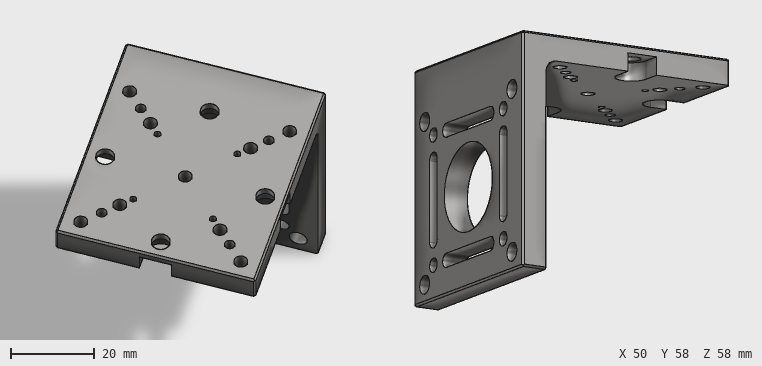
import cadquery as cq

length = 58.0
width = 50.0
thickness = 6.5
inner_fillet = 3.0
chamfer = 0.5

pattern_from_edge = 24.5
plate_center_y = pattern_from_edge - length / 2
wall_center_z = pattern_from_edge - length / 2
plate_bottom_z = length / 2 - thickness

outer_pitch = 20.0
middle_pitch = 16.0
inner_pitch = 12.5
innermost_pitch = 10.0

bore_diameter = 22.0
wall_screw_diameter = 4.5
wall_slot_width = 3.5
wall_pin_diameter = wall_slot_width
wall_slot_length = 23.5

large_tap_diameter = 3.3
medium_tap_diameter = 2.5
small_tap_diameter = 1.6
bolt_diameter = 4.5
bolt_head_diameter = 8.0
bolt_head_depth = 4.5
diagonal_holes = [
    (outer_pitch, large_tap_diameter),
    (middle_pitch, medium_tap_diameter),
    (inner_pitch, large_tap_diameter),
    (innermost_pitch, small_tap_diameter),
]


def square_corners(offset):
    return [(x, y) for x in (-offset, offset) for y in (-offset, offset)]


def bracket_body():
    half = length / 2
    body = (
        cq.Workplane("YZ")
        .moveTo(-half, half)
        .lineTo(half, half)
        .lineTo(half, -half)
        .lineTo(half - thickness, -half)
        .lineTo(half - thickness, plate_bottom_z)
        .lineTo(-half, plate_bottom_z)
        .close()
        .extrude(width / 2, both=True)
    )
    inner_corner = cq.selectors.NearestToPointSelector((0, half - thickness, plate_bottom_z))
    body = body.edges("|X").edges(inner_corner).fillet(inner_fillet)
    body = body.faces(">Z or >Y").edges().chamfer(chamfer)
    body = body.faces("<Y").edges("|Z").chamfer(chamfer)
    return body.faces("<Z").edges("|Y").chamfer(chamfer)


def wall_openings():
    plane = cq.Workplane("XZ", origin=(0, length / 2, wall_center_z))
    openings = plane.circle(bore_diameter / 2).extrude(thickness)
    for offset, diameter in ((outer_pitch, wall_screw_diameter), (middle_pitch, wall_pin_diameter)):
        holes = plane.pushPoints(square_corners(offset)).circle(diameter / 2).extrude(thickness)
        openings = openings.union(holes)
    for side in (-middle_pitch, middle_pitch):
        for x, y, angle in ((0, side, 0), (side, 0, 90)):
            slot = plane.center(x, y).slot2D(wall_slot_length, wall_slot_width, angle)
            openings = openings.union(slot.extrude(thickness))
    return openings


def plate_holes():
    plane = cq.Workplane("XY", origin=(0, plate_center_y, plate_bottom_z))
    holes = plane.circle(large_tap_diameter / 2).extrude(thickness)
    for offset, diameter in diagonal_holes:
        drilled = plane.pushPoints(square_corners(offset)).circle(diameter / 2).extrude(thickness)
        holes = holes.union(drilled)
    return holes


def bolt_seats():
    plane = cq.Workplane("XY", origin=(0, plate_center_y, plate_bottom_z))
    centers = [(-outer_pitch, 0), (outer_pitch, 0), (0, -outer_pitch), (0, outer_pitch)]
    seats = plane.pushPoints(centers).circle(bolt_diameter / 2).extrude(thickness)
    heads = plane.pushPoints(centers).circle(bolt_head_diameter / 2).extrude(bolt_head_depth)
    seats = seats.union(heads)
    run_out = length / 2
    side_run = (run_out, bolt_head_diameter)
    front_run = (bolt_head_diameter, run_out)
    for x, y, size in (
        (-outer_pitch - run_out / 2, 0, side_run),
        (outer_pitch + run_out / 2, 0, side_run),
        (0, -outer_pitch - run_out / 2, front_run),
    ):
        seats = seats.union(plane.center(x, y).rect(*size).extrude(bolt_head_depth))
    return seats


result = bracket_body().cut(wall_openings()).cut(plate_holes()).cut(bolt_seats())